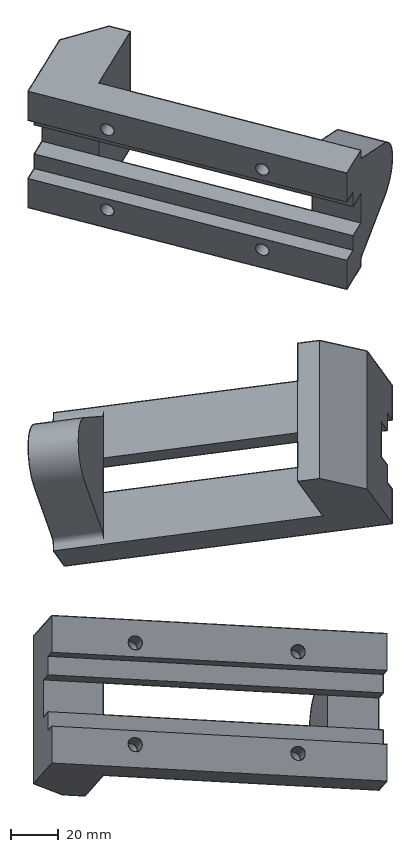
import cadquery as cq
import math

length = 144.0
depth = 52.0
height = 64.0
mid_z = height / 2

base_thickness = 16.0
jaw_length = 25.6
jaw_chamfer = 16.0

nose_length = 22.0
nose_tip_y = depth
root_fillet_radius = 3.0
taper_start_half_height = 26.5
taper_end_y = 42.8
taper_angle = math.radians(25)

channel_width = 32.0
channel_depth = 7.0
slot_width = 16.0

hole_diameter = 6.0
hole_depth = 10.1
drill_point_angle = math.radians(118)
hole_positions_x = (35.9, 105.8)
hole_offset_z = 22.0


def make_base_and_jaw():
    """L-shaped body with the outer corner of the jaw cut off."""
    return (
        cq.Workplane("XY")
        .moveTo(0, 0)
        .lineTo(length, 0)
        .lineTo(length, base_thickness)
        .lineTo(jaw_length, base_thickness)
        .lineTo(jaw_length, depth)
        .lineTo(jaw_chamfer, depth)
        .lineTo(0, depth - jaw_chamfer)
        .close()
        .extrude(height)
    )


def make_nose():
    """Tapered nose with rounded tip corners and a fillet where each taper meets the plate."""
    taper_start_y = base_thickness + root_fillet_radius * (1 - math.sin(taper_angle))
    root_center_y = base_thickness + root_fillet_radius
    root_center_z = taper_start_half_height + root_fillet_radius * math.cos(taper_angle)
    arc_mid_angle = (math.pi / 2 - taper_angle) / 2
    root_mid_y = root_center_y - root_fillet_radius * math.cos(arc_mid_angle)
    root_mid_z = root_center_z - root_fillet_radius * math.sin(arc_mid_angle)

    taper_drop = (taper_end_y - taper_start_y) * math.tan(taper_angle)
    taper_end_z = taper_start_half_height - taper_drop

    radius = (nose_tip_y - taper_end_y) / (1 - math.sin(taper_angle))
    center_y = nose_tip_y - radius
    center_z = taper_end_z - radius * math.cos(taper_angle)
    arc_mid_y = center_y + radius * math.cos(arc_mid_angle)
    arc_mid_z = center_z + radius * math.sin(arc_mid_angle)

    return (
        cq.Workplane("YZ", origin=(length - nose_length, 0, mid_z))
        .moveTo(0, -root_center_z)
        .lineTo(base_thickness, -root_center_z)
        .threePointArc((root_mid_y, -root_mid_z), (taper_start_y, -taper_start_half_height))
        .lineTo(taper_end_y, -taper_end_z)
        .threePointArc((arc_mid_y, -arc_mid_z), (nose_tip_y, -center_z))
        .lineTo(nose_tip_y, center_z)
        .threePointArc((arc_mid_y, arc_mid_z), (taper_end_y, taper_end_z))
        .lineTo(taper_start_y, taper_start_half_height)
        .threePointArc((root_mid_y, root_mid_z), (base_thickness, root_center_z))
        .lineTo(0, root_center_z)
        .close()
        .extrude(nose_length)
    )


def make_front_groove(width, groove_depth):
    """Full-length cutter centered on the height of the front face."""
    return cq.Workplane("XY").box(
        length, groove_depth, width, centered=(False, False, True)
    ).translate((0, 0, mid_z))


def make_drilled_hole(x, z):
    """Cutter for a blind hole with a conical bottom, entering along +Y."""
    radius = hole_diameter / 2
    point_length = radius / math.tan(drill_point_angle / 2)
    return (
        cq.Workplane("XY", origin=(x, 0, z))
        .moveTo(0, 0)
        .lineTo(radius, 0)
        .lineTo(radius, hole_depth)
        .lineTo(0, hole_depth + point_length)
        .close()
        .revolve(360, (0, 0, 0), (0, 1, 0))
    )


result = make_base_and_jaw().union(make_nose())
result = result.cut(make_front_groove(channel_width, channel_depth))
result = result.cut(make_front_groove(slot_width, base_thickness))
for hole_x in hole_positions_x:
    for side in (-1, 1):
        result = result.cut(make_drilled_hole(hole_x, mid_z + side * hole_offset_z))